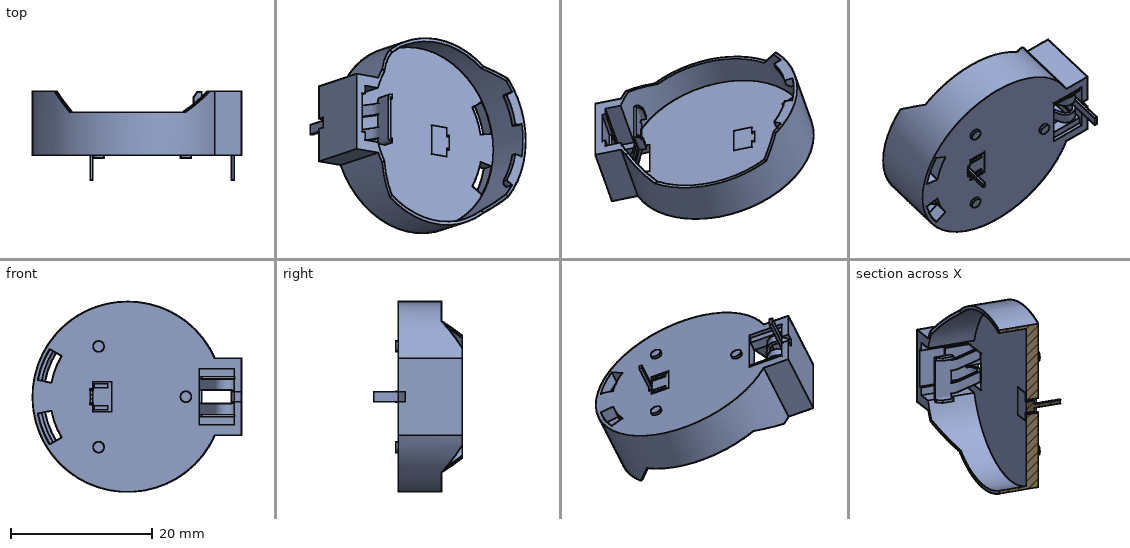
import cadquery as cq
import math


overall_length = 29.63
disc_diameter = 27.0
disc_radius = disc_diameter / 2
housing_height = 9.1
cavity_radius = 13.0
floor_thickness = 1.9
ear_end = overall_length - disc_radius
ear_half_width = 5.48

opening_floor = 6.13
opening_low_angles = (127.4, 52.8)
opening_top_angles = (140.2, 30.5)
opening_side_directions = (133.0, 42.0)
opening_reach = 2.37

lip_angles = (159.0, 201.0)
lip_span = 21.0
lip_ledge_radius = 12.4
lip_tip_radius = 11.88
lip_ledge_height = 7.7
lip_tip_height = 8.3
slot_inner_radius = 11.0
slot_outer_radius = 12.92

standoff_count = 3
standoff_circle_radius = 8.25
standoff_radius = 0.77
standoff_height = 0.4

window_start = 10.1
window_end = 15.1
recess_half_width = 3.97
recess_depth = 0.5
window_half_width = 2.81
pocket_end = 14.65
notch_half_width = 0.75

sheet_thickness = 0.41
pin_length = 3.5

strip_inner_z = 0.95
strip_outer_z = 2.55
spring_pin_width = 1.42
curl_radius = 1.48
slope_angle = 64.0
upper_bend_radius = 2.95
leg_top = 5.33
head_half_width = 3.4
head_top = 9.0
head_corner_radius = 0.5
wing_end = 9.3
wing_chamfer_length = 0.53
wing_chamfer_height = 0.77

plate_start = -4.92
plate_end = -2.28
plate_half_width = 2.1
plate_depth = 0.2
rib_start = -4.75
rib_end = -2.81
rib_inner_z = 1.3
rib_outer_z = 1.87
rib_height = 0.18
leg_hole_half_width = 1.07
shoulder_width = 1.72
shoulder_depth = 0.6
centre_pin_width = 0.62


def block(x_range, y_range, z_range):
    """Box between two limits along each axis."""
    sizes = [high - low for low, high in (x_range, y_range, z_range)]
    corner = (x_range[0], y_range[0], z_range[0])
    return cq.Workplane("XY").box(*sizes, centered=False).translate(corner)


def mid_block(x_range, y_range, half_width):
    """Box centred on the Z = 0 plane."""
    return block(x_range, y_range, (-half_width, half_width))


def plane_at(y):
    """XZ workplane at height y, whose extrusions run along +Y and whose local y is -Z."""
    return cq.Workplane(cq.Plane(origin=(0, y, 0), xDir=(1, 0, 0), normal=(0, 1, 0)))


def polar(radius, angle):
    """Point at a radius and an angle in degrees."""
    return radius * math.cos(math.radians(angle)), radius * math.sin(math.radians(angle))


def housing_body():
    ear_start = math.sqrt(disc_radius**2 - ear_half_width**2)
    ear_angle = math.degrees(math.asin(ear_half_width / disc_radius))
    arc_x, arc_z = polar(disc_radius, (ear_angle + 90) / 2)
    return (
        plane_at(0)
        .moveTo(ear_end, ear_half_width)
        .lineTo(ear_start, ear_half_width)
        .threePointArc((arc_x, arc_z), (0, disc_radius))
        .threePointArc((-disc_radius, 0), (0, -disc_radius))
        .threePointArc((arc_x, -arc_z), (ear_start, -ear_half_width))
        .lineTo(ear_end, -ear_half_width)
        .close()
        .extrude(housing_height)
    )


def opening_outline(angles):
    """Outline whose two sides cross the cup wall at the given angles."""
    corners = []
    for angle, direction in zip(angles, opening_side_directions):
        x, z = polar(disc_radius, angle)
        reach_x, reach_z = polar(opening_reach, direction)
        corners.append([(x - reach_x, z - reach_z), (x + reach_x, z + reach_z)])
    (left_in, left_out), (right_in, right_out) = corners
    top = disc_radius + opening_reach
    return [left_in, left_out, (left_out[0], top), (right_out[0], top), right_out, right_in]


def side_opening():
    """Lowered stretch of the cup wall on the +Z side, with sloping ends."""
    wires = []
    for y, angles in ((opening_floor, opening_low_angles), (housing_height, opening_top_angles)):
        points = [cq.Vector(x, y, z) for x, z in opening_outline(angles)]
        wires.append(cq.Wire.makePolygon(points, close=True))
    return cq.Workplane(cq.Solid.makeLoft(wires, True))


def sector(profile, middle_angle):
    """Revolve an (r, y) profile about the cup axis over one lip span."""
    start_angle = middle_angle - lip_span / 2
    return (
        cq.Workplane("XY")
        .polyline(profile)
        .close()
        .revolve(lip_span, (0, 0, 0), (0, 1, 0))
        .rotate((0, 0, 0), (0, 1, 0), start_angle)
    )


def lip_slot(angle):
    """Floor slot below a lip, reaching up through the empty cup to the lip's ledge."""
    outline = [
        (slot_inner_radius, 0),
        (slot_outer_radius, 0),
        (slot_outer_radius, lip_ledge_height),
        (slot_inner_radius, lip_ledge_height),
    ]
    return sector(outline, angle)


def lip(angle):
    """Overhang with a flat ledge and a conical underside, rooted inside the cup wall."""
    root_radius = (cavity_radius + disc_radius) / 2
    outline = [
        (root_radius, lip_ledge_height),
        (lip_ledge_radius, lip_ledge_height),
        (lip_tip_radius, lip_tip_height),
        (lip_tip_radius, housing_height),
        (root_radius, housing_height),
    ]
    return sector(outline, angle)


def cavity():
    """Hollow of the cup, which leaves the lips standing."""
    hollow = plane_at(floor_thickness).circle(cavity_radius).extrude(housing_height - floor_thickness)
    for angle in lip_angles:
        hollow = hollow.cut(lip(angle))
    return hollow


def spring_window():
    """Stepped window for the strips and leg, with a wider pocket above the floor for the head."""
    recess = mid_block((window_start, window_end), (0, recess_depth), recess_half_width)
    window = mid_block((window_start, window_end), (0, housing_height), window_half_width)
    pocket = mid_block((window_start, pocket_end), (floor_thickness, housing_height), recess_half_width)
    return recess.union(window).union(pocket)


def pin_notch():
    """45-degree notch from the window's front edge to the end of the ear."""
    depth = ear_end - window_end
    return (
        cq.Workplane("XY")
        .workplane(offset=-notch_half_width)
        .polyline([(window_end, 0), (ear_end, 0), (ear_end, depth)])
        .close()
        .extrude(2 * notch_half_width)
    )


def centre_window():
    """Hole through the floor for the contact plate, with a smaller hole beside it for the leg."""
    plate_window = mid_block((plate_start, plate_end), (0, floor_thickness), plate_half_width)
    leg_start = plate_start - sheet_thickness
    leg_hole = mid_block((leg_start, plate_start), (0, floor_thickness), leg_hole_half_width)
    return plate_window.union(leg_hole)


def make_housing():
    body = housing_body()
    body = body.cut(cavity())
    for angle in lip_angles:
        body = body.cut(lip_slot(angle))
    opening = side_opening()
    body = body.cut(opening).cut(opening.mirror("XY"))
    standoffs = (
        plane_at(-standoff_height)
        .polarArray(standoff_circle_radius, 0, 360, standoff_count)
        .circle(standoff_radius)
        .extrude(standoff_height)
    )
    body = body.union(standoffs)
    return body.cut(spring_window()).cut(pin_notch()).cut(centre_window())


def spring_strip_profile():
    """Side profile: leg, curl near the mounting face, slope, and bend into the upright head.

    Also returns the Y heights of the curl and bend centres.
    """
    inner_curl = curl_radius - sheet_thickness
    inner_bend = upper_bend_radius - sheet_thickness
    curl_x = window_end - curl_radius
    curl_y = recess_depth + curl_radius
    slope_cos = math.cos(math.radians(slope_angle))
    slope_sin = math.sin(math.radians(slope_angle))
    bend_x = window_start + upper_bend_radius
    curl_outer_x = curl_x - curl_radius * slope_sin
    curl_outer_y = curl_y - curl_radius * slope_cos
    bend_outer_x = bend_x - upper_bend_radius * slope_sin
    rise = (curl_outer_x - bend_outer_x) * slope_sin / slope_cos
    bend_y = curl_outer_y + rise + upper_bend_radius * slope_cos

    def on_curl(radius, angle):
        x, y = polar(radius, angle)
        return curl_x + x, curl_y + y

    def on_bend(radius, angle):
        x, y = polar(radius, angle)
        return bend_x + x, bend_y + y

    slope_start = 180 + 90 - slope_angle
    curl_middle = (slope_start + 360) / 2
    bend_middle = (180 + slope_start) / 2
    profile = (
        cq.Workplane("XY")
        .moveTo(window_end, leg_top)
        .lineTo(window_end, curl_y)
        .threePointArc(on_curl(curl_radius, curl_middle), on_curl(curl_radius, slope_start))
        .lineTo(*on_bend(upper_bend_radius, slope_start))
        .threePointArc(on_bend(upper_bend_radius, bend_middle), on_bend(upper_bend_radius, 180))
        .lineTo(*on_bend(inner_bend, 180))
        .threePointArc(on_bend(inner_bend, bend_middle), on_bend(inner_bend, slope_start))
        .lineTo(*on_curl(inner_curl, slope_start))
        .threePointArc(on_curl(inner_curl, curl_middle), on_curl(inner_curl, 360))
        .lineTo(window_end - sheet_thickness, leg_top)
        .close()
    )
    return profile, curl_y, bend_y


def spring_head(bottom):
    """Upright channel whose two wings point toward -X and have chamfered tips."""
    web_back = window_start + sheet_thickness
    channel = mid_block((wing_end, web_back), (bottom, head_top), head_half_width)
    channel = channel.edges("|Y and >X").fillet(head_corner_radius)
    inner_radius = head_corner_radius - sheet_thickness
    hollow_half_width = head_half_width - sheet_thickness
    hollow = mid_block((wing_end, window_start), (bottom, head_top), hollow_half_width)
    hollow = hollow.edges("|Y and >X").fillet(inner_radius)
    tip = [
        (wing_end, head_top),
        (wing_end + wing_chamfer_length, head_top),
        (wing_end, head_top - wing_chamfer_height),
    ]
    tip_cut = cq.Workplane("XY").polyline(tip).close().extrude(head_half_width, both=True)
    return channel.cut(hollow).cut(tip_cut)


def make_spring_terminal():
    profile, curl_y, bend_y = spring_strip_profile()
    spring = profile.extrude(strip_outer_z, both=True)
    leg_front = window_end - sheet_thickness
    slot = mid_block((window_start, leg_front), (0, head_top), strip_inner_z)
    root_slot = mid_block((window_start, window_end), (0, curl_y), strip_inner_z)
    spring = spring.cut(slot).cut(root_slot)
    pin = mid_block((leg_front, window_end), (-pin_length, curl_y), spring_pin_width / 2)
    return spring.union(pin).union(spring_head(bend_y))


def make_centre_terminal():
    leg_range = (plate_start - sheet_thickness, plate_start)
    plate_back = floor_thickness
    terminal = mid_block((plate_start, plate_end), (plate_depth, plate_back), plate_half_width)
    for low, high in ((rib_inner_z, rib_outer_z), (-rib_outer_z, -rib_inner_z)):
        rib = block((rib_start, rib_end), (plate_depth - rib_height, plate_depth), (low, high))
        terminal = terminal.union(rib)
    shoulder = mid_block(leg_range, (shoulder_depth, plate_back), shoulder_width / 2)
    pin = mid_block(leg_range, (-pin_length, shoulder_depth), centre_pin_width / 2)
    return terminal.union(shoulder).union(pin)


housing = make_housing()
spring_terminal = make_spring_terminal()
centre_terminal = make_centre_terminal()

result = cq.Compound.makeCompound([housing.val(), spring_terminal.val(), centre_terminal.val()])